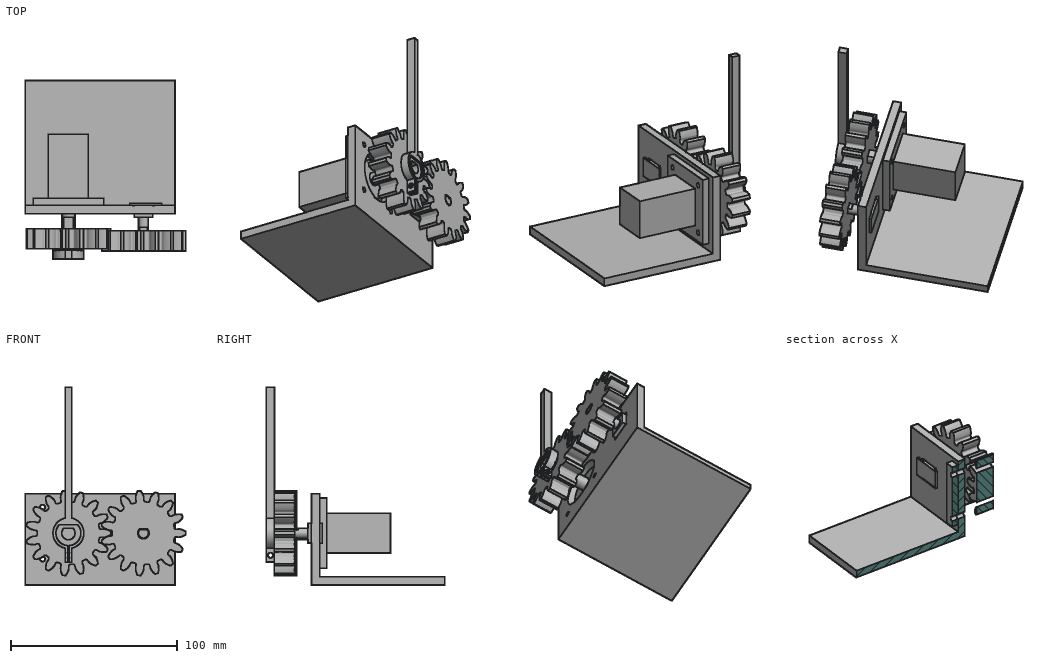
import cadquery as cq
import math


overall_height = 118.7

bracket_width = 90.0
bracket_height = 55.0
bracket_depth = 80.0
bracket_thickness = 5.1
bracket_left = -26.0
motor_hole_diameter = 30.0
sensor_hole_clearance = 1.0
axis_height = 31.2
bracket_bottom = -axis_height

flange_size = 42.4
flange_thickness = 4.3
motor_body_size = 24.1
motor_body_length = 38.2
boss_diameter = 24.0
boss_height = 2.0
motor_shaft_diameter = 8.0
motor_shaft_flat_height = 2.8
motor_shaft_flat_start = 2.0
screw_hole_diameter = 3.0
screw_hole_spacing = 31.0

axle_distance = 45.0
tooth_count = 15
pressure_angle = math.radians(20)
gear_width = 12.2
dedendum_factor = 1.25
root_fillet_factor = 0.38
module = axle_distance / tooth_count
pitch_radius = axle_distance / 2
tip_radius = pitch_radius + module
root_radius = pitch_radius - dedendum_factor * module
root_fillet = root_fillet_factor * module
base_radius = pitch_radius * math.cos(pressure_angle)
flank_points = 6

drive_gear_front = 21.0
driven_gear_front = 22.3

hub_diameter = 15.0
hub_flat_height = 5.0
hub_front = 26.0

driven_bore_diameter = 6.8
driven_bore_flat_height = 2.5

sensor_nose_width = 11.2
sensor_nose_height = 12.0
sensor_nose_projection = 2.1
sensor_plate_left = -8.2
sensor_plate_right = 10.9
sensor_plate_thickness = 1.3
sensor_shaft_diameter = 6.0
sensor_shaft_flat_height = 2.0
sensor_shaft_flat_start = 8.0

arm_front = 27.0
arm_thickness = 5.1
arm_width = 4.0
arm_length = overall_height - axis_height
clamp_ring_diameter = 18.5
clamp_tail_length = 17.5
clamp_slit = 1.1
clamp_hole_diameter = 3.0
clamp_hole_drop = 13.3


def front_plane(distance, x=0):
    """XZ plane set `distance` ahead of the bracket wall; extrusions run forward, along -Y."""
    return cq.Workplane("XZ", origin=(x, -distance, 0))


def d_bar(diameter, flat_height, start, end, x=0):
    """Round bar along Y with a flat on top, from distance `start` to `end` ahead of the wall."""
    bar = front_plane(start, x).circle(diameter / 2).extrude(end - start)
    kept = (
        front_plane(start, x)
        .center(0, flat_height - diameter / 2)
        .rect(2 * diameter, diameter)
        .extrude(end - start)
    )
    return bar.intersect(kept)


def polar(radius, angle):
    return (radius * math.cos(angle), radius * math.sin(angle))


def involute(angle):
    return math.tan(angle) - angle


def half_tooth_angle(radius):
    """Half of the angle that a tooth spans at a radius on its involute flank."""
    at_pitch = math.pi / (2 * tooth_count) + involute(pressure_angle)
    return at_pitch - involute(math.acos(base_radius / radius))


def gear_blank(back, x=0):
    """Toothed disc with involute flanks, radial below the base circle, and filleted roots."""
    pitch_angle = 2 * math.pi / tooth_count
    base_half = half_tooth_angle(base_radius)
    tip_half = half_tooth_angle(tip_radius)
    fillet_centre_radius = root_radius + root_fillet
    fillet_offset = math.asin(root_fillet / fillet_centre_radius)
    fillet_top = fillet_centre_radius * math.cos(fillet_offset)
    root_half = base_half + fillet_offset
    fillet_turn = root_half + math.pi + (math.pi / 2 - fillet_offset) / 2
    centre_x, centre_y = polar(fillet_centre_radius, root_half)
    turn_x, turn_y = polar(root_fillet, fillet_turn)
    fillet_middle_x = centre_x + turn_x
    fillet_middle_y = centre_y + turn_y
    fillet_middle_radius = math.hypot(fillet_middle_x, fillet_middle_y)
    fillet_middle_half = math.atan2(fillet_middle_y, fillet_middle_x)

    flank_step = (tip_radius - base_radius) / (flank_points - 1)
    flank = [base_radius + flank_step * i for i in range(flank_points)]
    profile = front_plane(back, x).moveTo(*polar(root_radius, -root_half))
    for tooth in range(tooth_count):
        angle = tooth * pitch_angle
        rising = [polar(r, angle - half_tooth_angle(r)) for r in flank]
        falling = [polar(r, angle + half_tooth_angle(r)) for r in reversed(flank)]
        profile = (
            profile.threePointArc(
                polar(fillet_middle_radius, angle - fillet_middle_half),
                polar(fillet_top, angle - base_half),
            )
            .lineTo(*rising[0])
            .spline(rising[1:], includeCurrent=True)
            .threePointArc(polar(tip_radius, angle), polar(tip_radius, angle + tip_half))
            .spline(falling[1:], includeCurrent=True)
            .lineTo(*polar(fillet_top, angle + base_half))
            .threePointArc(
                polar(fillet_middle_radius, angle + fillet_middle_half),
                polar(root_radius, angle + root_half),
            )
            .threePointArc(
                polar(root_radius, angle + pitch_angle / 2),
                polar(root_radius, angle + pitch_angle - root_half),
            )
        )
    return profile.close().extrude(gear_width)


def screw_holes(back, depth):
    """Bars on the square screw pattern, used to drill the wall and the motor flange."""
    return (
        front_plane(back)
        .rect(screw_hole_spacing, screw_hole_spacing, forConstruction=True)
        .vertices()
        .circle(screw_hole_diameter / 2)
        .extrude(depth)
    )


def make_motor():
    flange_back = -bracket_thickness - flange_thickness
    flange = (
        front_plane(flange_back)
        .rect(flange_size, flange_size)
        .extrude(flange_thickness)
        .cut(screw_holes(flange_back, flange_thickness))
    )
    body = (
        front_plane(flange_back - motor_body_length)
        .rect(motor_body_size, motor_body_size)
        .extrude(motor_body_length)
    )
    boss = front_plane(-bracket_thickness).circle(boss_diameter / 2).extrude(boss_height)
    plain_shaft = (
        front_plane(-bracket_thickness)
        .circle(motor_shaft_diameter / 2)
        .extrude(bracket_thickness + motor_shaft_flat_start)
    )
    flat_shaft = d_bar(
        motor_shaft_diameter, motor_shaft_flat_height, motor_shaft_flat_start, drive_gear_front
    )
    return flange.union(body).union(boss).union(plain_shaft).union(flat_shaft)


def make_sensor():
    nose = (
        front_plane(-bracket_thickness, axle_distance)
        .rect(sensor_nose_width, sensor_nose_height)
        .extrude(bracket_thickness + sensor_nose_projection)
    )
    plate = (
        front_plane(-bracket_thickness - sensor_plate_thickness, axle_distance)
        .center((sensor_plate_left + sensor_plate_right) / 2, 0)
        .rect(sensor_plate_right - sensor_plate_left, sensor_nose_height)
        .extrude(sensor_plate_thickness)
    )
    plain_shaft = (
        front_plane(0, axle_distance)
        .circle(sensor_shaft_diameter / 2)
        .extrude(sensor_shaft_flat_start)
    )
    flat_shaft = d_bar(
        sensor_shaft_diameter,
        sensor_shaft_flat_height,
        sensor_shaft_flat_start,
        driven_gear_front,
        axle_distance,
    )
    return nose.union(plate).union(plain_shaft).union(flat_shaft)


def make_bracket():
    bracket = (
        cq.Workplane("YZ", origin=(bracket_left, 0, bracket_bottom))
        .lineTo(bracket_depth, 0)
        .lineTo(bracket_depth, bracket_thickness)
        .lineTo(bracket_thickness, bracket_thickness)
        .lineTo(bracket_thickness, bracket_height)
        .lineTo(0, bracket_height)
        .close()
        .extrude(bracket_width)
    )
    motor_hole = (
        front_plane(-bracket_thickness).circle(motor_hole_diameter / 2).extrude(bracket_thickness)
    )
    sensor_hole = (
        front_plane(-bracket_thickness, axle_distance)
        .rect(
            sensor_nose_width + 2 * sensor_hole_clearance,
            sensor_nose_height + 2 * sensor_hole_clearance,
        )
        .extrude(bracket_thickness)
    )
    return (
        bracket.cut(motor_hole)
        .cut(screw_holes(-bracket_thickness, bracket_thickness))
        .cut(sensor_hole)
    )


def make_drive_gear():
    hub = d_bar(hub_diameter, hub_flat_height, drive_gear_front, hub_front)
    back = drive_gear_front - gear_width
    bore = d_bar(motor_shaft_diameter, motor_shaft_flat_height, back, hub_front)
    return gear_blank(back).union(hub).cut(bore)


def make_driven_gear():
    back = driven_gear_front - gear_width
    bore = d_bar(
        driven_bore_diameter, driven_bore_flat_height, back, driven_gear_front, axle_distance
    )
    return gear_blank(back, axle_distance).cut(bore)


def make_arm():
    back = arm_front - arm_thickness
    ring = front_plane(back).circle(clamp_ring_diameter / 2).extrude(arm_thickness)
    bar = (
        front_plane(back)
        .center(0, (arm_length - clamp_tail_length) / 2)
        .rect(arm_width, arm_length + clamp_tail_length)
        .extrude(arm_thickness)
    )
    slit = (
        front_plane(back)
        .center(0, -clamp_tail_length / 2)
        .rect(clamp_slit, clamp_tail_length)
        .extrude(arm_thickness)
    )
    clamp_hole = (
        cq.Workplane("YZ", origin=(0, -back - arm_thickness / 2, -clamp_hole_drop))
        .circle(clamp_hole_diameter / 2)
        .extrude(arm_width, both=True)
    )
    hub_socket = d_bar(hub_diameter, hub_flat_height, back, arm_front)
    return ring.union(bar).cut(slit).cut(clamp_hole).cut(hub_socket)


bracket = make_bracket()
motor = make_motor()
sensor = make_sensor()
drive_gear = make_drive_gear()
driven_gear = make_driven_gear()
arm = make_arm()

bodies = [bracket, motor, sensor, drive_gear, driven_gear, arm]
result = cq.Compound.makeCompound([body.solids().val() for body in bodies])